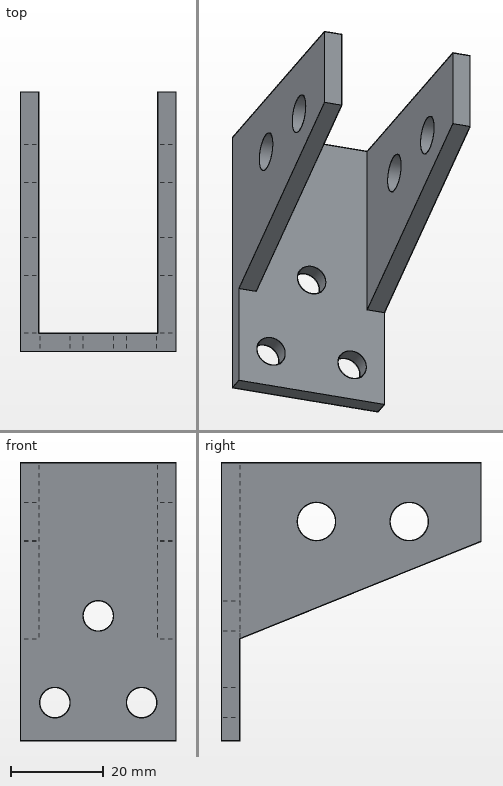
import cadquery as cq

width = 33.6
depth = 56.0
height = 60.0
wall = 4.0

arm_tip_height = 17.0
arm_root_height = 38.0

mount_hole_diameter = 6.5
mount_hole_spacing = 18.7
lower_mount_z = 8.25
upper_mount_z = lower_mount_z + mount_hole_spacing

arm_hole_diameter = 8.2
arm_hole_spacing = 20.0
first_arm_hole_y = 20.5
arm_hole_z = height - 12.7


def make_plate():
    """Upright mounting plate, centred on X with its outer face at Y = 0."""
    return cq.Workplane("XY").box(width, wall, height, centered=(True, False, False))


def make_arm(x_start):
    """Tapered side arm, one wall thick, starting at the given X."""
    outline = [
        (0, height),
        (depth, height),
        (depth, height - arm_tip_height),
        (wall, height - arm_root_height),
        (0, height - arm_root_height),
    ]
    return cq.Workplane("YZ").workplane(offset=x_start).polyline(outline).close().extrude(wall)


def make_mount_holes():
    """Cutters along Y: two lower holes and one centred hole above them."""
    centers = [
        (-mount_hole_spacing / 2, lower_mount_z),
        (mount_hole_spacing / 2, lower_mount_z),
        (0, upper_mount_z),
    ]
    return cq.Workplane("XZ").pushPoints(centers).circle(mount_hole_diameter / 2).extrude(-wall)


def make_arm_holes():
    """Cutters along X that pass through both arms."""
    centers = [
        (first_arm_hole_y, arm_hole_z),
        (first_arm_hole_y + arm_hole_spacing, arm_hole_z),
    ]
    return (
        cq.Workplane("YZ")
        .pushPoints(centers)
        .circle(arm_hole_diameter / 2)
        .extrude(width / 2, both=True)
    )


bracket = make_plate()
for arm_start in (-width / 2, width / 2 - wall):
    bracket = bracket.union(make_arm(arm_start))

result = bracket.cut(make_mount_holes()).cut(make_arm_holes())